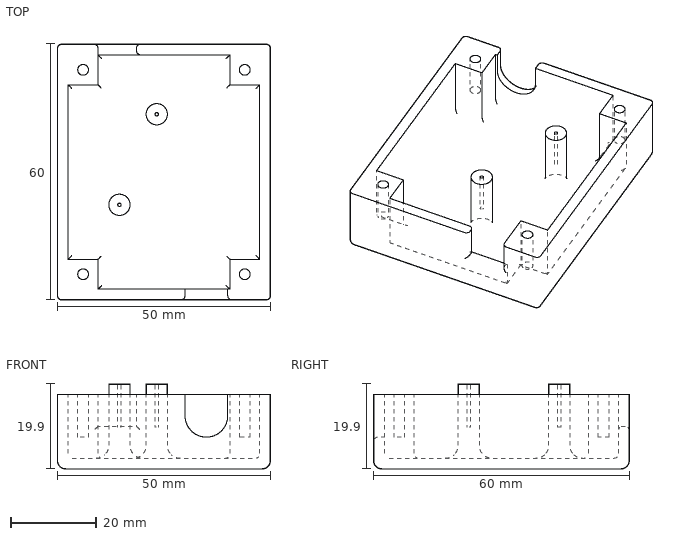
import cadquery as cq

length_x = 50.0
length_y = 60.0
box_height = 17.5
wall = 2.5
floor = 2.5
bottom_round = 2.0
edge_round = 1.0

pillar_size = 7.0
screw_hole_diameter = 2.5
screw_hole_depth = 10.0

post_diameter = 5.0
post_top = 19.9
post_foot_round = 3.0
post_hole_diameter = 0.8
post_hole_depth = 10.0
post_centers = [(-1.7, 13.55), (-10.45, -7.7)]

slot_x = 9.95
slot_width = 10.0
slot_center_z = 12.5

notch_width = 9.0
notch_floor_z = 10.0

inner_x = length_x - 2 * wall
inner_y = length_y - 2 * wall
pillar_center_x = (inner_x - pillar_size) / 2
pillar_center_y = (inner_y - pillar_size) / 2
notch_left = pillar_size - inner_x / 2
notch_right = notch_left + notch_width
selection_margin = 0.05


def block(x_range, y_range, z_range):
    """Axis-aligned block spanning the given ranges."""
    sizes = [high - low for low, high in (x_range, y_range, z_range)]
    corner = (x_range[0], y_range[0], z_range[0])
    return cq.Workplane("XY").box(*sizes, centered=False).translate(corner)


def make_shell():
    """Rounded outer box with a cavity that leaves four corner pillars."""
    outer = cq.Workplane("XY").box(length_x, length_y, box_height, centered=(True, True, False))
    outer = outer.faces("<Z").edges().fillet(bottom_round)
    outer = outer.edges("|Z").fillet(edge_round)

    cavity_height = box_height - floor
    cavity = cq.Workplane("XY").workplane(offset=floor).rect(inner_x, inner_y).extrude(cavity_height)
    pillars = (
        cq.Workplane("XY")
        .workplane(offset=floor)
        .rect(2 * pillar_center_x, 2 * pillar_center_y, forConstruction=True)
        .vertices()
        .rect(pillar_size, pillar_size)
        .extrude(cavity_height)
    )
    cavity = cavity.cut(pillars).faces("<Z").edges().fillet(edge_round)
    return outer.cut(cavity)


def cut_screw_holes(body):
    return (
        body.faces(">Z")
        .workplane(origin=(0, 0, box_height))
        .rect(2 * pillar_center_x, 2 * pillar_center_y, forConstruction=True)
        .vertices()
        .hole(screw_hole_diameter, screw_hole_depth)
    )


def cut_front_slot(body):
    """Cut the U-shaped slot and round its rim on the outside."""
    radius = slot_width / 2
    front = -length_y / 2
    slot = (
        cq.Workplane("XZ", origin=(slot_x, front, slot_center_z))
        .moveTo(-radius, 0)
        .threePointArc((0, -radius), (radius, 0))
        .lineTo(radius, box_height - slot_center_z)
        .lineTo(-radius, box_height - slot_center_z)
        .close()
        .extrude(-wall)
    )
    body = body.cut(slot)
    reach = radius + selection_margin
    rim = cq.selectors.BoxSelector(
        (slot_x - reach, front - selection_margin, slot_center_z - reach),
        (slot_x + reach, front + selection_margin, box_height - selection_margin),
    )
    return body.edges(rim).fillet(edge_round)


def cut_back_notch(body):
    """Cut the square notch and round its exposed edges."""
    back = length_y / 2
    notch = block((notch_left, notch_right), (back - wall, back), (notch_floor_z, box_height))
    body = body.cut(notch)
    outer_rim = cq.selectors.BoxSelector(
        (notch_left - selection_margin, back - selection_margin, notch_floor_z - selection_margin),
        (notch_right + selection_margin, back + selection_margin, box_height - selection_margin),
    )
    inner_rim = cq.selectors.BoxSelector(
        (notch_left + selection_margin, back - wall - selection_margin, notch_floor_z - selection_margin),
        (notch_right + selection_margin, back - wall + selection_margin, box_height - selection_margin),
    )
    return body.edges(outer_rim + inner_rim).fillet(edge_round)


def make_post(x, y):
    """Post with a concave flared foot and a blind pilot hole in its top."""
    radius = post_diameter / 2
    foot_radius = radius + post_foot_round
    post = (
        cq.Workplane("XZ")
        .lineTo(foot_radius, 0)
        .lineTo(foot_radius, floor)
        .radiusArc((radius, floor + post_foot_round), post_foot_round)
        .lineTo(radius, post_top)
        .lineTo(0, post_top)
        .close()
        .revolve(360, (0, 0, 0), (0, 1, 0))
    )
    return post.translate((x, y, 0))


def cut_post_holes(body):
    holes = (
        cq.Workplane("XY")
        .workplane(offset=post_top)
        .pushPoints(post_centers)
        .circle(post_hole_diameter / 2)
        .extrude(-post_hole_depth)
    )
    return body.cut(holes)


body = make_shell()
body = cut_screw_holes(body)
body = cut_front_slot(body)
body = cut_back_notch(body)
for post_x, post_y in post_centers:
    body = body.union(make_post(post_x, post_y))
result = cut_post_holes(body)